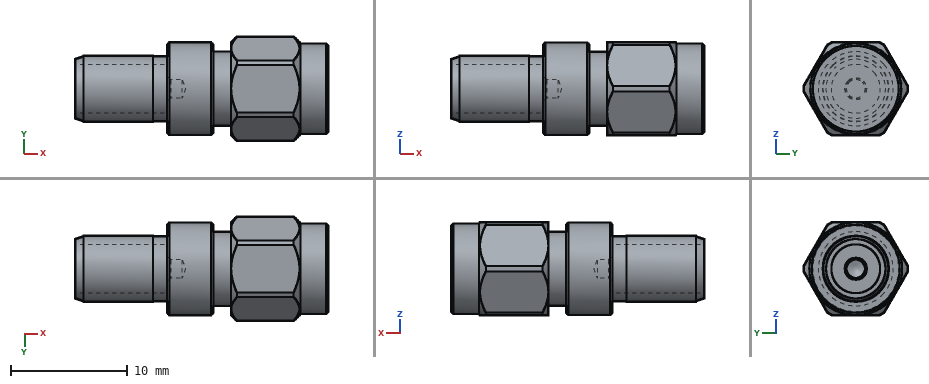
import cadquery as cq
import math

LENGTH = 21.8
FERRULE_START = 0.72
FERRULE_END = 6.7
FLANGE_START = 7.91
FLANGE_END = 11.9
NUT_START = 13.43
COLLAR_START = 19.4

NOSE_DIAMETER = 5.1
FERRULE_DIAMETER = 5.7
BODY_DIAMETER = 5.6
FLANGE_DIAMETER = 8.0
FRONT_NECK_DIAMETER = 6.4
COLLAR_DIAMETER = 7.8
EDGE_CHAMFER = 0.22

NUT_ACROSS_FLATS = FLANGE_DIAMETER
NUT_CORNER_DIAMETER = 8.98

BORE_DIAMETER = 4.2
BORE_DEPTH = FLANGE_START
SOCKET_MOUTH_DIAMETER = 1.9
SOCKET_MOUTH_DEPTH = 0.22
SOCKET_BEVEL_DIAMETER = 1.8
SOCKET_DIAMETER = 1.6
SOCKET_DEPTH = 1.3
SOCKET_TIP_ANGLE = 140.0


def revolve_profile(points):
    """Revolve (x, radius) points about the X axis."""
    return cq.Workplane("XY").polyline(points).close().revolve(360, (0, 0, 0), (1, 0, 0))


def cylinder(start, end, diameter):
    """Cylinder on the X axis between two stations."""
    return cq.Workplane("YZ", origin=(start, 0, 0)).circle(diameter / 2).extrude(end - start)


def make_ferrule():
    """Thin sleeve fitted over a body with a tapered nose."""
    body_radius = BODY_DIAMETER / 2
    sleeve_radius = FERRULE_DIAMETER / 2
    return revolve_profile([
        (0, 0),
        (0, NOSE_DIAMETER / 2),
        (FERRULE_START, body_radius),
        (FERRULE_START, sleeve_radius),
        (FERRULE_END, sleeve_radius),
        (FERRULE_END, 0),
    ])


def make_nut():
    """Hexagon with flats facing +Z and -Z and bevelled corners."""
    corner_radius = NUT_CORNER_DIAMETER / 2
    start_radius = NUT_ACROSS_FLATS / 2
    end_radius = COLLAR_DIAMETER / 2
    hexagon = (
        cq.Workplane("YZ", origin=(NUT_START, 0, 0))
        .polygon(6, NUT_ACROSS_FLATS / math.cos(math.pi / 6))
        .extrude(COLLAR_START - NUT_START)
    )
    envelope = revolve_profile([
        (NUT_START, 0),
        (NUT_START, start_radius),
        (NUT_START + corner_radius - start_radius, corner_radius),
        (COLLAR_START - corner_radius + end_radius, corner_radius),
        (COLLAR_START, end_radius),
        (COLLAR_START, 0),
    ])
    return hexagon.intersect(envelope)


def make_bore():
    """Wide bore, then a stepped and bevelled socket with a conical bottom."""
    socket_radius = SOCKET_DIAMETER / 2
    mouth_radius = SOCKET_MOUTH_DIAMETER / 2
    bevel_radius = SOCKET_BEVEL_DIAMETER / 2
    bevel_start = BORE_DEPTH + SOCKET_MOUTH_DEPTH
    socket_end = BORE_DEPTH + SOCKET_DEPTH
    tip_length = socket_radius / math.tan(math.radians(SOCKET_TIP_ANGLE / 2))
    return revolve_profile([
        (0, 0),
        (0, BORE_DIAMETER / 2),
        (BORE_DEPTH, BORE_DIAMETER / 2),
        (BORE_DEPTH, mouth_radius),
        (bevel_start, mouth_radius),
        (bevel_start, bevel_radius),
        (bevel_start + bevel_radius - socket_radius, socket_radius),
        (socket_end, socket_radius),
        (socket_end + tip_length, 0),
    ])


rear_neck = cylinder(FERRULE_END, FLANGE_START, BODY_DIAMETER)
flange = cylinder(FLANGE_START, FLANGE_END, FLANGE_DIAMETER).edges().chamfer(EDGE_CHAMFER)
front_neck = cylinder(FLANGE_END, NUT_START, FRONT_NECK_DIAMETER)
collar = cylinder(COLLAR_START, LENGTH, COLLAR_DIAMETER).faces(">X").edges().chamfer(EDGE_CHAMFER)

result = make_ferrule()
for section in (rear_neck, flange, front_neck, make_nut(), collar):
    result = result.union(section)
result = result.cut(make_bore())